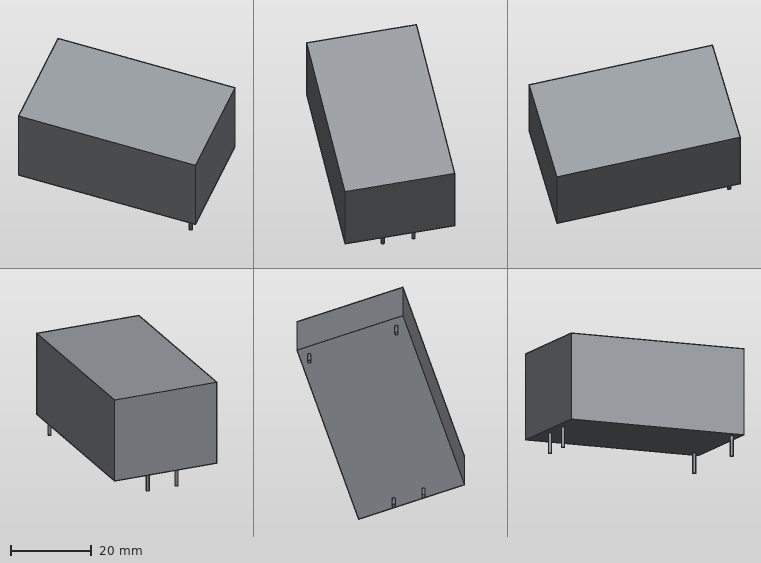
import cadquery as cq

housing_length = 46.9
housing_width = 27.8
housing_height = 21.8

pin_diameter = 0.8
pin_length = 5.1
pin_end_inset = 2.2
near_pair_spacing = 7.8
far_pair_spacing = 22.8

pin_row_x = housing_length / 2 - pin_end_inset


def make_housing():
    return cq.Workplane("XY").box(
        housing_length, housing_width, housing_height, centered=(True, True, False)
    )


def make_pin(x, y):
    """One lead with its upper end against the underside of the housing."""
    return (
        cq.Workplane("XY")
        .center(x, y)
        .circle(pin_diameter / 2)
        .extrude(-pin_length)
    )


housing = make_housing()

pins = []
for row_x, spacing in ((-pin_row_x, near_pair_spacing), (pin_row_x, far_pair_spacing)):
    for side in (-1, 1):
        pins.append(make_pin(row_x, side * spacing / 2))

result = cq.Compound.makeCompound([housing.val(), *[pin.val() for pin in pins]])